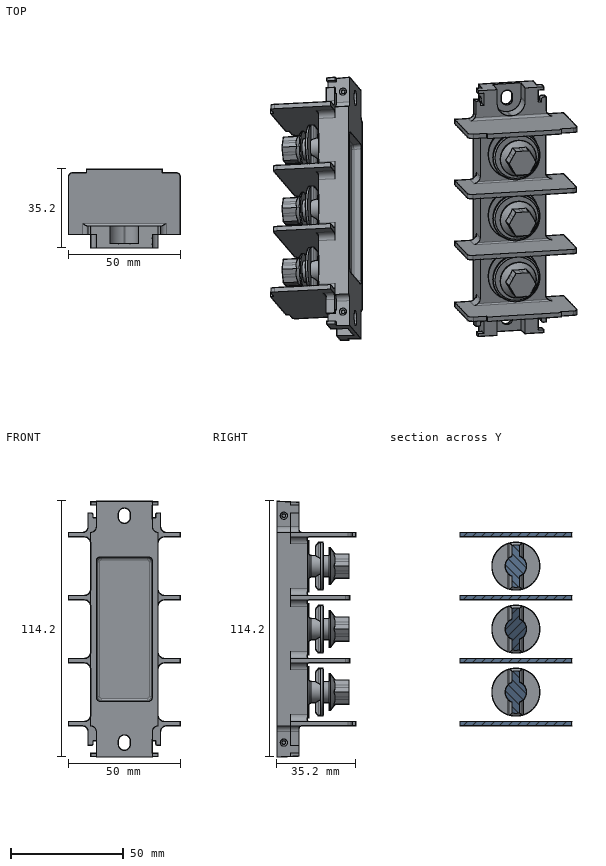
import cadquery as cq
import math

LENGTH = 114.2

BODY_WIDTH = 30.0
BODY_DEPTH = 13.6
END_WIDTH = 25.0
END_DEPTH = 9.9
STEP_DEPTH = 6.0
SHOULDER_RADIUS = 2.5
END_DRAFT = 0.5

BARRIER_COUNT = 4
BARRIER_PITCH = 28.1
BARRIER_THICKNESS = 2.0
BARRIER_WIDTH = 50.0
BARRIER_TOP = 32.5
BARRIER_CORNER_RADIUS = 2.0
OUTER_BARRIER_SHOULDER = 33.7
OUTER_BARRIER_TOP = 35.2
OUTER_BARRIER_TONGUE_WIDTH = 33.9

BODY_SIDE_FLARE = 3.0
BODY_BACK_FLARE = 0.7
END_SIDE_FLARE = 2.5
END_BACK_FLARE = 1.1

FIN_SPAN = 32.4
FIN_THICKNESS = 2.3
FIN_TIP_FROM_END = 5.3
FIN_GAP_FROM_END = 7.3
FIN_TIP_RADIUS = 0.9
TAB_THICKNESS = 1.8

HOLE_WIDTH = 5.3
HOLE_HEIGHT = 6.7
HOLE_FROM_END = 6.5
END_WALL = 2.0
NOTCH_WIDTH = 12.8
NOTCH_FLOOR_FROM_END = 12.9
NOTCH_CORNER_RADIUS = 6.2
DIMPLE_Y = 3.1
DIMPLE_RADIUS = 1.6
DIMPLE_FLOOR_RADIUS = 0.8
DIMPLE_DEPTH = 0.6

POCKET_HEIGHT = 64.4
POCKET_DEPTH = 4.0
POCKET_DRAFT_ANGLE = 8
POCKET_CORNER_RADIUS = 1.8
POCKET_FLOOR_RADIUS = 0.9

PAD_RADIUS = 11.4
PAD_TOP = 14.3
FOOT_RADIUS = 5.4
FOOT_TOP = 15.3
SHANK_RADIUS = 4.8
RIDGE_BOTTOM = 17.1
RIDGE_BREAK = 18.5
RIDGE_HALF_WIDTH = 3.4
RIDGE_BREAK_HALF_WIDTH = 2.7
RIDGE_END_RADIUS = 8.9
WASHER_BOTTOM = 19.5
WASHER_TOP = 20.8
WASHER_RADIUS = 10.7
WASHER_TOP_RADIUS = 9.9
WASHER_RIM_TOP = 20.4
FLANGE_BOTTOM = 23.3
FLANGE_RIM_TOP = 23.9
FLANGE_RADIUS = 8.2
FLANGE_TOP = 26.0
HEAD_TOP = 32.2
HEAD_ACROSS_FLATS = 10.8
HEAD_CORE_STRIP = 1.3

HALF_LENGTH = LENGTH / 2
OUTER_BARRIER_Z = BARRIER_PITCH * (BARRIER_COUNT - 1) / 2
BARRIER_LEVELS = [i * BARRIER_PITCH - OUTER_BARRIER_Z for i in range(BARRIER_COUNT)]
SCREW_LEVELS = [z + BARRIER_PITCH / 2 for z in BARRIER_LEVELS[:-1]]
BODY_HALF_LENGTH = OUTER_BARRIER_Z + BARRIER_THICKNESS / 2
HOLE_Z = HALF_LENGTH - HOLE_FROM_END


def block(width, y_from, y_to, z_from, z_to):
    """Box centred on X that spans the given Y and Z ranges."""
    size = (width, y_to - y_from, z_to - z_from)
    return cq.Workplane("XY").box(*size, centered=(True, False, False)).translate((0, y_from, z_from))


def cylinder_along_y(radius, y_from, y_to):
    """Cylinder about the Y axis between two Y levels."""
    return cq.Workplane("XZ", origin=(0, y_from, 0)).circle(radius).extrude(y_from - y_to)


def mirrored(shape, plane):
    """The shape together with its mirror image."""
    return shape.union(shape.mirror(plane))


def flare_profile(plane, half_width, radius, z_root, direction):
    """Symmetric outline that widens by a concave quarter arc towards z_root."""
    z_tip = z_root + direction * radius
    z_arc = z_root + direction * radius * (1 - math.sqrt(0.5))
    arc_reach = half_width + radius * (1 - math.sqrt(0.5))
    return (
        cq.Workplane(plane)
        .moveTo(half_width, z_tip)
        .threePointArc((arc_reach, z_arc), (half_width + radius, z_root))
        .lineTo(-half_width - radius, z_root)
        .threePointArc((-arc_reach, z_arc), (-half_width, z_tip))
        .close()
    )


def flare(width, back, side_radius, back_radius, z_root, direction):
    """Flare around the sides and the back of a block, mitred at its two back corners.

    The part at the back is only as tall as its own radius.
    """
    reach = back + back_radius
    sides = flare_profile("XZ", width / 2, side_radius, z_root, direction).extrude(-reach)
    sides = sides.intersect(block(BARRIER_WIDTH, STEP_DEPTH, reach, -HALF_LENGTH, HALF_LENGTH))
    rear = flare_profile("YZ", back, back_radius, z_root, direction).extrude(BARRIER_WIDTH / 2, both=True)
    body_part = sides.intersect(block(BARRIER_WIDTH, 0, back, -HALF_LENGTH, HALF_LENGTH))
    return body_part.union(sides.intersect(rear))


def barrier(z, is_outer):
    """Upright plate between terminals; the outer ones carry a raised tongue."""
    z_low = z - BARRIER_THICKNESS / 2
    z_high = z + BARRIER_THICKNESS / 2
    top = OUTER_BARRIER_SHOULDER if is_outer else BARRIER_TOP
    plate = block(BARRIER_WIDTH, STEP_DEPTH, top, z_low, z_high)
    plate = plate.edges("|Z and >Y").fillet(BARRIER_CORNER_RADIUS)
    if is_outer:
        plate = plate.union(block(OUTER_BARRIER_TONGUE_WIDTH, STEP_DEPTH, OUTER_BARRIER_TOP, z_low, z_high))
    for z_root, direction in ((z_low, -1), (z_high, 1)):
        faces_end = is_outer and direction * z > 0
        if faces_end:
            root = flare(FIN_SPAN, END_DEPTH, END_SIDE_FLARE, END_BACK_FLARE, z_root, direction)
        else:
            root = flare(BODY_WIDTH, BODY_DEPTH, BODY_SIDE_FLARE, BODY_BACK_FLARE, z_root, direction)
        plate = plate.union(root)
    return plate


def fins():
    """Pair of fins beside the upper end, joined to it below the gaps."""
    fin_tip = HALF_LENGTH - FIN_TIP_FROM_END
    gap_bottom = HALF_LENGTH - FIN_GAP_FROM_END
    gap_span = FIN_SPAN - 2 * FIN_THICKNESS
    base = block(FIN_SPAN, STEP_DEPTH, END_DEPTH, BODY_HALF_LENGTH, fin_tip)
    gap = block(gap_span, STEP_DEPTH, END_DEPTH, gap_bottom, HALF_LENGTH)
    pair = base.cut(gap)
    inner_tips = cq.selectors.BoxSelector(
        (-gap_span / 2 - 0.1, 0, fin_tip - 0.1), (gap_span / 2 + 0.1, END_DEPTH, fin_tip + 0.1)
    )
    return pair.edges(inner_tips).edges("|Y").fillet(FIN_TIP_RADIUS)


def upper_end():
    """Narrow end with shoulder flares, fins, tabs and side dimples."""
    end = block(END_WIDTH, 0, END_DEPTH, BODY_HALF_LENGTH, HALF_LENGTH)
    end = end.union(
        flare_profile("XZ", END_WIDTH / 2, SHOULDER_RADIUS, BODY_HALF_LENGTH, 1).extrude(-STEP_DEPTH)
    )
    end = end.union(fins())
    end = end.union(block(BODY_WIDTH, STEP_DEPTH, END_DEPTH, HALF_LENGTH - TAB_THICKNESS, HALF_LENGTH))

    dimple = cq.Workplane(
        cq.Solid.makeCone(
            DIMPLE_RADIUS, DIMPLE_FLOOR_RADIUS, DIMPLE_DEPTH,
            pnt=cq.Vector(-END_WIDTH / 2, DIMPLE_Y, HOLE_Z), dir=cq.Vector(1, 0, 0),
        )
    )
    return end.cut(mirrored(dimple, "YZ"))


def upper_mounting_cut():
    """Round-cornered notch in the back of the upper end and the slotted hole through its wall."""
    notch = block(NOTCH_WIDTH, END_WALL, END_DEPTH, HALF_LENGTH - NOTCH_FLOOR_FROM_END, HALF_LENGTH)
    notch = notch.edges("|Y and <Z").fillet(NOTCH_CORNER_RADIUS)
    hole = (
        cq.Workplane("XZ", origin=(0, 0, HOLE_Z))
        .slot2D(HOLE_HEIGHT, HOLE_WIDTH, 90)
        .extrude(-END_DEPTH)
    )
    return notch.union(hole)


def upper_draft():
    """Thin wedge that slopes the upper end face down towards the back."""
    return (
        cq.Workplane("YZ")
        .moveTo(0, HALF_LENGTH)
        .lineTo(END_DEPTH, HALF_LENGTH)
        .lineTo(END_DEPTH, HALF_LENGTH - END_DRAFT)
        .close()
        .extrude(BODY_WIDTH / 2, both=True)
    )


def front_pocket():
    """Shallow drafted recess in the front face with rounded corners and a rounded floor edge."""
    outline = cq.Workplane("XZ").rect(END_WIDTH, POCKET_HEIGHT)
    pocket = outline.extrude(-POCKET_DEPTH, taper=POCKET_DRAFT_ANGLE)
    pocket = pocket.edges("not(|X or |Z)").fillet(POCKET_CORNER_RADIUS)
    return pocket.faces(">Y").edges().fillet(POCKET_FLOOR_RADIUS)


def build_housing():
    """Block with its two ends, barriers, screw pads, mounting cuts and front pocket."""
    housing = block(BODY_WIDTH, 0, BODY_DEPTH, -BODY_HALF_LENGTH, BODY_HALF_LENGTH)
    housing = housing.union(mirrored(upper_end(), "XY"))
    for index, z in enumerate(BARRIER_LEVELS):
        housing = housing.union(barrier(z, index in (0, BARRIER_COUNT - 1)))
    for z in SCREW_LEVELS:
        housing = housing.union(cylinder_along_y(PAD_RADIUS, BODY_DEPTH, PAD_TOP).translate((0, 0, z)))
    housing = housing.cut(mirrored(upper_mounting_cut(), "XY"))
    housing = housing.cut(mirrored(upper_draft(), "XY"))
    return housing.cut(front_pocket())


def clamping_washer():
    """Round washer with a rounded ridge along Z on its underside."""
    envelope = (
        cq.Workplane("XY")
        .moveTo(0, RIDGE_BOTTOM)
        .lineTo(RIDGE_END_RADIUS, RIDGE_BOTTOM)
        .lineTo(WASHER_RADIUS, RIDGE_BREAK)
        .lineTo(WASHER_RADIUS, WASHER_RIM_TOP)
        .lineTo(WASHER_TOP_RADIUS, WASHER_TOP)
        .lineTo(0, WASHER_TOP)
        .close()
        .revolve(360, (0, 0, 0), (0, 1, 0))
    )
    ridge = (
        cq.Workplane("XY")
        .moveTo(-RIDGE_HALF_WIDTH, WASHER_BOTTOM)
        .lineTo(-RIDGE_BREAK_HALF_WIDTH, RIDGE_BREAK)
        .threePointArc((0, RIDGE_BOTTOM), (RIDGE_BREAK_HALF_WIDTH, RIDGE_BREAK))
        .lineTo(RIDGE_HALF_WIDTH, WASHER_BOTTOM)
        .close()
        .extrude(WASHER_RADIUS, both=True)
    )
    disc = cylinder_along_y(WASHER_RADIUS, WASHER_BOTTOM, WASHER_TOP)
    return envelope.intersect(disc.union(ridge))


def build_screw():
    """Flanged hex screw with its washer, standing on its pad."""
    turned = (
        cq.Workplane("XY")
        .moveTo(0, PAD_TOP)
        .lineTo(FOOT_RADIUS, PAD_TOP)
        .lineTo(SHANK_RADIUS, FOOT_TOP)
        .lineTo(SHANK_RADIUS, FLANGE_BOTTOM)
        .lineTo(FLANGE_RADIUS, FLANGE_BOTTOM)
        .lineTo(FLANGE_RADIUS, FLANGE_RIM_TOP)
        .lineTo(HEAD_ACROSS_FLATS / 2, FLANGE_TOP)
        .lineTo(0, FLANGE_TOP)
        .close()
        .revolve(360, (0, 0, 0), (0, 1, 0))
    )
    across_corners = HEAD_ACROSS_FLATS / math.cos(math.pi / 6)
    hexagon = (
        cq.Workplane("XZ", origin=(0, FLANGE_RIM_TOP, 0))
        .polygon(6, across_corners)
        .extrude(FLANGE_RIM_TOP - HEAD_TOP)
    )
    core_radius = math.hypot(HEAD_ACROSS_FLATS / 2, HEAD_CORE_STRIP / 2)
    core = cylinder_along_y(core_radius, FLANGE_RIM_TOP, HEAD_TOP)
    return turned.union(clamping_washer()).union(hexagon).union(core)


housing = build_housing()
screws = [build_screw().translate((0, 0, z)) for z in SCREW_LEVELS]

result = cq.Compound.makeCompound([housing.val(), *[screw.val() for screw in screws]])